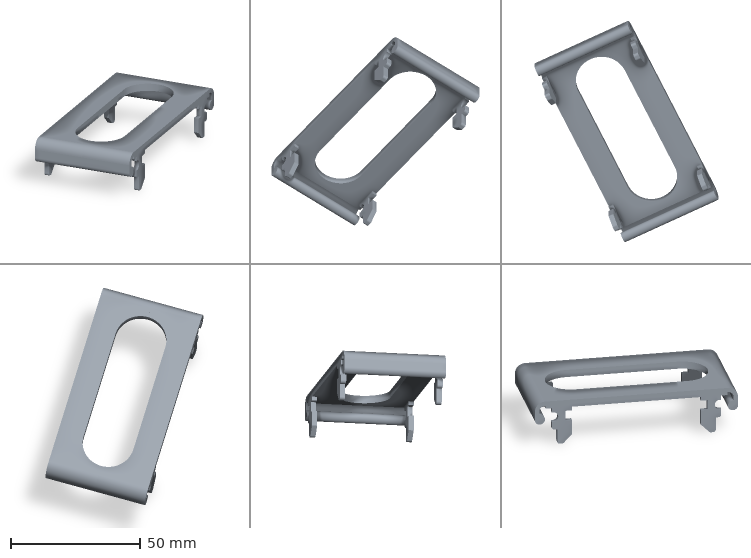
import cadquery as cq
import math

LENGTH = 80.0
WIDTH = 40.0
HEIGHT = 18.0
HALF_LENGTH = LENGTH / 2
HALF_WIDTH = WIDTH / 2

PLATE_THICKNESS = 3.0
SLOT_LENGTH = 64.0
SLOT_WIDTH = 20.0

LIP_OUTER_RADIUS = 4.0
LIP_THICKNESS = 1.8
LIP_INNER_RADIUS = LIP_OUTER_RADIUS - LIP_THICKNESS
LIP_GROOVE_INSET = 4.2
BEAD_RADIUS = 2.0
BEAD_CENTER_DEPTH = 7.4

LEG_THICKNESS = 2.0
LEG_OUTER_INSET = 6.6
LEG_INNER_INSET = 14.6
NECK_INNER_INSET = 12.0
FOOT_OUTER_INSET = 8.8
SHOULDER_DEPTH = 4.5
NOTCH_RADIUS = 2.0
NOTCH_CENTER_INSET = 7.2
NOTCH_CENTER_DEPTH = 6.7
JAW_TOP_DEPTH = 8.6
JAW_BOTTOM_DEPTH = 11.9
JAW_CORNER_RADIUS = 1.0
FOOT_BEVEL = 3.5
FOOT_CORNER_RADIUS = 1.0


def from_end(inset, depth):
    """Point in the YZ plane, inset from the -Y end and below the top face."""
    return (-HALF_LENGTH + inset, -depth)


def make_lipped_plate():
    """Half-width plate with a hooked lip along its -Y end, up to the middle of its length."""
    diagonal = math.sqrt(0.5)
    outer_mid = LIP_OUTER_RADIUS * (1 - diagonal)
    inner_mid = LIP_OUTER_RADIUS - LIP_INNER_RADIUS * diagonal
    bead_join_offset = math.sqrt(BEAD_RADIUS**2 - (BEAD_RADIUS - LIP_THICKNESS) ** 2)
    return (
        cq.Workplane("YZ")
        .moveTo(0, 0)
        .lineTo(*from_end(LIP_OUTER_RADIUS, 0))
        .threePointArc(from_end(outer_mid, outer_mid), from_end(0, LIP_OUTER_RADIUS))
        .lineTo(*from_end(0, BEAD_CENTER_DEPTH))
        .threePointArc(
            from_end(2 * BEAD_RADIUS, BEAD_CENTER_DEPTH),
            from_end(LIP_THICKNESS, BEAD_CENTER_DEPTH - bead_join_offset),
        )
        .lineTo(*from_end(LIP_THICKNESS, LIP_OUTER_RADIUS))
        .threePointArc(from_end(inner_mid, inner_mid), from_end(LIP_OUTER_RADIUS, LIP_THICKNESS))
        .lineTo(*from_end(LIP_GROOVE_INSET, LIP_THICKNESS))
        .lineTo(*from_end(LIP_GROOVE_INSET, PLATE_THICKNESS))
        .lineTo(0, -PLATE_THICKNESS)
        .close()
        .extrude(HALF_WIDTH)
    )


def make_leg():
    """Clip leg below the plate, flush with the +X face, near the -Y end."""
    notch_half_mouth = math.sqrt(NOTCH_RADIUS**2 - (NOTCH_CENTER_INSET - LEG_OUTER_INSET) ** 2)
    leg = (
        cq.Workplane("YZ", origin=(HALF_WIDTH - LEG_THICKNESS, 0, 0))
        .moveTo(*from_end(LEG_OUTER_INSET, PLATE_THICKNESS))
        .lineTo(*from_end(LEG_OUTER_INSET, NOTCH_CENTER_DEPTH - notch_half_mouth))
        .threePointArc(
            from_end(NOTCH_CENTER_INSET + NOTCH_RADIUS, NOTCH_CENTER_DEPTH),
            from_end(LEG_OUTER_INSET, NOTCH_CENTER_DEPTH + notch_half_mouth),
        )
        .lineTo(*from_end(LEG_OUTER_INSET, JAW_BOTTOM_DEPTH))
        .lineTo(*from_end(FOOT_OUTER_INSET, JAW_BOTTOM_DEPTH))
        .lineTo(*from_end(FOOT_OUTER_INSET, HEIGHT))
        .lineTo(*from_end(LEG_INNER_INSET - FOOT_BEVEL, HEIGHT))
        .lineTo(*from_end(LEG_INNER_INSET, HEIGHT - FOOT_BEVEL))
        .lineTo(*from_end(LEG_INNER_INSET, JAW_TOP_DEPTH))
        .lineTo(*from_end(NECK_INNER_INSET, JAW_TOP_DEPTH))
        .lineTo(*from_end(NECK_INNER_INSET, SHOULDER_DEPTH))
        .lineTo(*from_end(LEG_INNER_INSET, SHOULDER_DEPTH))
        .lineTo(*from_end(LEG_INNER_INSET, PLATE_THICKNESS))
        .close()
        .extrude(LEG_THICKNESS)
    )
    jaw_y, jaw_z = from_end(LEG_OUTER_INSET, JAW_BOTTOM_DEPTH)
    jaw_corner = cq.selectors.NearestToPointSelector((HALF_WIDTH - LEG_THICKNESS / 2, jaw_y, jaw_z))
    return leg.edges(jaw_corner).fillet(JAW_CORNER_RADIUS).edges("|X and <Z").fillet(FOOT_CORNER_RADIUS)


def make_slot_cutter():
    """Round-ended slot along Y, passing down through the plate."""
    return (
        cq.Workplane("XY")
        .slot2D(SLOT_LENGTH, SLOT_WIDTH, angle=90)
        .extrude(-PLATE_THICKNESS)
    )


def make_frame_half(side):
    """Half frame on the +X side (side = 1) or the -X side (side = -1) of the middle plane."""
    end = make_lipped_plate().union(make_leg())
    half = end.union(end.mirror("XZ")).clean().cut(make_slot_cutter())
    return half if side > 0 else half.mirror("YZ")


frame_halves = [make_frame_half(side).solids().val() for side in (-1, 1)]

result = cq.Compound.makeCompound(frame_halves)